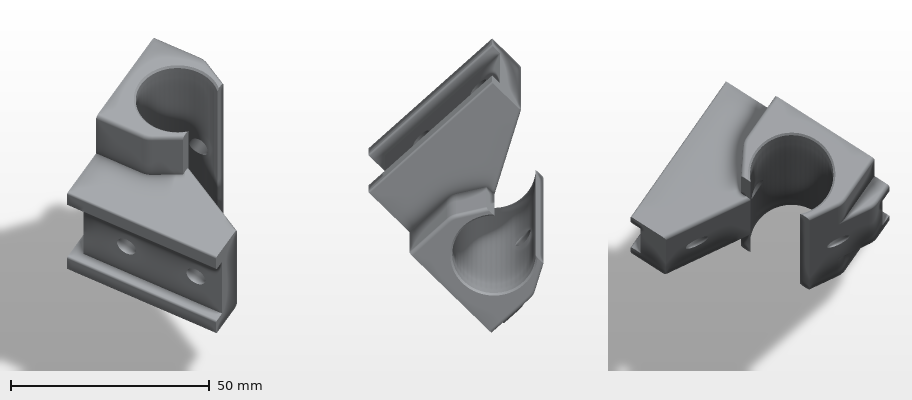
import cadquery as cq
import math

length = 43.0
depth = 49.5
height = 59.0

base_height = 30.05
band_height = 20.35
band_inset = 3.0
end_depth = 10.7

block_front = 15.0
block_back = 45.0
block_length = 22.4
bore_x = 15.05
bore_y = (block_front + block_back) / 2
bore_radius = 10.5
bore_chamfer = 0.5

slope = math.tan(math.radians(30))
corner_x = 14.45
corner_radius = 5.0
edge_radius = 1.0
lip_radius = 0.5

hole_diameter = 5.4
first_hole_x = 15.45
hole_spacing = 20.0

tip_rise = (block_length - corner_x) * slope
slope_start_y = end_depth + (length - block_length) * slope
base_corner_x = corner_x - (depth - block_back) / slope


def extrude_centred(points, total_height):
    """Extrude an XY outline symmetrically about Z = 0."""
    return cq.Workplane("XY").polyline(points).close().extrude(total_height / 2, both=True)


def near_upright_edge(x, y):
    """Select the upright edge at a corner of an outline."""
    return cq.selectors.NearestToPointSelector((x, y, 0))


def make_base():
    outline = [
        (0, 0),
        (length, 0),
        (length, end_depth),
        (block_length, slope_start_y),
        (block_length, block_back - tip_rise),
        (base_corner_x, depth),
        (0, depth),
    ]
    base = extrude_centred(outline, base_height)
    base = base.edges("|Z").edges(near_upright_edge(base_corner_x, depth)).fillet(corner_radius)

    slope_middle = ((length + block_length) / 2, (end_depth + slope_start_y) / 2)
    for z in (-base_height / 2, base_height / 2):
        front_slope = cq.selectors.NearestToPointSelector((*slope_middle, z))
        rear_wall = cq.selectors.NearestToPointSelector((base_corner_x / 2, depth, z))
        base = base.edges(front_slope).fillet(edge_radius)
        base = base.edges(rear_wall).fillet(edge_radius)
    return base


def make_block():
    outline = [
        (0, block_front),
        (corner_x, block_front),
        (block_length, block_front + tip_rise),
        (block_length, block_back - tip_rise),
        (corner_x, block_back),
        (0, block_back),
    ]
    block = extrude_centred(outline, height)
    for y in (block_front, block_back):
        block = block.edges("|Z").edges(near_upright_edge(corner_x, y)).fillet(corner_radius)

    return block.faces("<Z or >Z").edges("not |Y").fillet(edge_radius)


def recess_band(body):
    """Recess the left and front walls, leaving a flange above and below with rounded front lips."""
    band_room = cq.Workplane("XY").box(length, depth, band_height, centered=(False, False, True))
    band_core = band_room.translate((band_inset, band_inset, 0))
    body = body.cut(band_room.cut(band_core))
    return body.edges("|X and <Y").fillet(lip_radius)


def make_bore():
    """Clip bore along Z, widened by a chamfer at both ends."""
    half = height / 2
    profile = [
        (0, -half),
        (bore_radius + bore_chamfer, -half),
        (bore_radius, -half + bore_chamfer),
        (bore_radius, half - bore_chamfer),
        (bore_radius + bore_chamfer, half),
        (0, half),
    ]
    bore = cq.Workplane("XZ").polyline(profile).close().revolve(360, (0, 0), (0, 1))
    return bore.translate((bore_x, bore_y, 0))


def make_screw_holes():
    centres = [(first_hole_x + i * hole_spacing, 0) for i in range(2)]
    return cq.Workplane("XZ").pushPoints(centres).circle(hole_diameter / 2).extrude(-depth)


result = recess_band(make_base().union(make_block())).cut(make_bore()).cut(make_screw_holes())